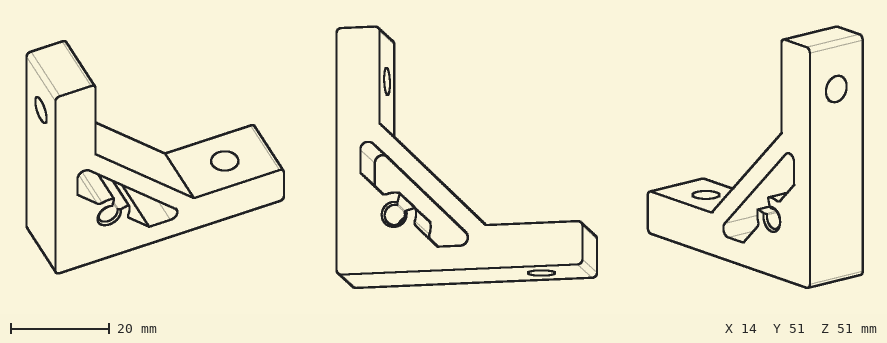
import cadquery as cq
import math

width = 14.0
leg_length = 51.0
leg_thickness = 9.0
brace_end = 30.9
corner_radius = 1.0

window_wall = 4.95
window_corner = 20.9
brace_thickness = 3.9
window_radius = 1.6

clip_center = 12.0
clip_radius = 4.55
bore_radius = 2.1
bore_chamfer = 0.5
mouth_half_angle = 30.0
mouth_clearance = 0.5
clip_root_radius = 1.0
clip_tip_radius = 0.25
mouth_edge_radius = 0.2

hole_diameter = 5.5
hole_distance = 41.0


def across_width(points):
    """Extrude a closed Y-Z outline over the full width, centred on X = 0."""
    return cq.Workplane("YZ").polyline(points).close().extrude(width / 2, both=True)


def round_edges(solid, points, radius):
    """Round the edges parallel to X that pass through the given Y-Z points."""
    found = []
    for y, z in points:
        found += solid.edges(cq.selectors.NearestToPointSelector((0, y, z))).vals()
    return solid.newObject(found).fillet(radius)


def make_body():
    tips = [
        (0, 0),
        (leg_length, 0),
        (leg_length, leg_thickness),
        (leg_thickness, leg_length),
        (0, leg_length),
    ]
    brace = [(brace_end, leg_thickness), (leg_thickness, brace_end)]
    body = across_width(tips[:3] + brace + tips[3:])
    return round_edges(body, tips, corner_radius)


def make_window():
    brace_inner_sum = brace_end + leg_thickness - brace_thickness * math.sqrt(2)
    far = brace_inner_sum - window_wall
    acute_corners = [(far, window_wall), (window_wall, far)]
    window = across_width(
        [(window_corner, window_wall)] + acute_corners + [(window_wall, window_corner)]
    )
    return round_edges(window, acute_corners, window_radius)


def clip_cylinder(radius):
    plane = cq.Workplane("YZ").center(clip_center, clip_center)
    return plane.circle(radius).extrude(width / 2, both=True)


def clip_point(distance, angle):
    """Y-Z point at a distance from the clip axis, at an angle in degrees from +Y."""
    turn = math.radians(angle)
    return (
        clip_center + distance * math.cos(turn),
        clip_center + distance * math.sin(turn),
    )


def add_clip(body):
    body = body.union(clip_cylinder(clip_radius))

    line_offset = (window_corner + window_wall - 2 * clip_center) / math.sqrt(2)
    root_angle = math.degrees(math.acos(line_offset / clip_radius))
    roots = [clip_point(clip_radius, 45 + side * root_angle) for side in (-1, 1)]
    body = round_edges(body, roots, clip_root_radius)

    mouth_angles = [45 - mouth_half_angle, 45 + mouth_half_angle]
    mouth_reach = (clip_radius + mouth_clearance) / math.cos(math.radians(mouth_half_angle))
    mouth_ends = [clip_point(mouth_reach, angle) for angle in mouth_angles]
    body = body.cut(across_width([(clip_center, clip_center)] + mouth_ends))
    tips = [clip_point(clip_radius, angle) for angle in mouth_angles]
    body = round_edges(body, tips, clip_tip_radius)

    body = body.cut(clip_cylinder(bore_radius))
    mouth_edges = [clip_point(bore_radius, angle) for angle in mouth_angles]
    body = round_edges(body, mouth_edges, mouth_edge_radius)

    for side in (-1, 1):
        lead_in = cq.Solid.makeCone(
            bore_radius + bore_chamfer,
            bore_radius,
            bore_chamfer,
            cq.Vector(side * width / 2, clip_center, clip_center),
            cq.Vector(-side, 0, 0),
        )
        body = body.cut(cq.Workplane(lead_in))
    return body


def make_mounting_holes():
    radius = hole_diameter / 2
    upright = cq.Solid.makeCylinder(
        radius, leg_thickness, cq.Vector(0, 0, hole_distance), cq.Vector(0, 1, 0)
    )
    base = cq.Solid.makeCylinder(
        radius, leg_thickness, cq.Vector(0, hole_distance, 0), cq.Vector(0, 0, 1)
    )
    return cq.Workplane(upright).union(cq.Workplane(base))


result = add_clip(make_body().cut(make_window())).cut(make_mounting_holes())